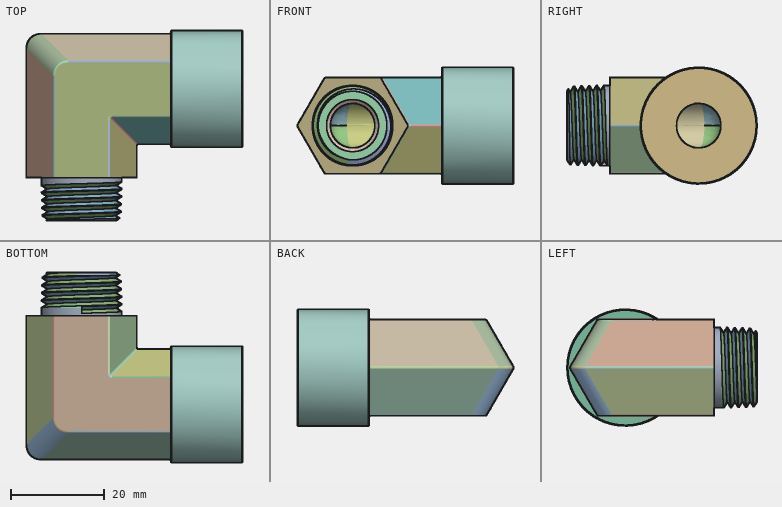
import cadquery as cq
import math

HEX_ACROSS_FLATS = 20.64
HEX_EDGE_RADIUS = 0.5
OUTER_BEND_RADIUS = 3.7
INNER_BEND_RADIUS = 0.5
SPIGOT_ARM_LENGTH = 18.98
SOCKET_ARM_LENGTH = 19.05

SOCKET_DIAMETER = 25.0
SOCKET_LENGTH = 15.43
SOCKET_CHAMFER = 0.2
SOCKET_ROOT_RADIUS = 0.25

SPIGOT_DIAMETER = 17.25
SPIGOT_LENGTH = 9.22
SPIGOT_TIP_DIAMETER = 14.7
TIP_CHAMFER_LENGTH = 0.7
THREAD_PITCH = 1.62
THREAD_DEPTH = 1.17
THREAD_CREST = 0.15
GROOVE_CLEARANCE = 0.1
TAPER_PER_LENGTH = 1 / 32
THREAD_RUNOUT_TURNS = 0.25
THREAD_OVERRUN_PITCHES = 7

BORE_DIAMETER = 9.5
BORE_BEND_RADIUS = 3.4
BORE_MOUTH_DIAMETER = 11.15

HEX_ACROSS_CORNERS = HEX_ACROSS_FLATS / math.cos(math.radians(30))
SPIGOT_TIP_Y = -(SPIGOT_ARM_LENGTH + SPIGOT_LENGTH)
SOCKET_END_X = SOCKET_ARM_LENGTH + SOCKET_LENGTH
REACH = 2 * max(-SPIGOT_TIP_Y, SOCKET_END_X)
POSITION_TOLERANCE = 1e-3


def half_space(first, second, third):
    """Large triangular prism; its first two corners span a dividing plane through the Z axis."""
    corners = [(REACH * x, REACH * y) for x, y in (first, second, third)]
    return cq.Workplane("XY").polyline(corners).close().extrude(SOCKET_DIAMETER, both=True)


def mitred_elbow(arm_y, arm_x):
    """Join two overlapping arms so that they meet on the mitre plane y = -x."""
    spigot_side = half_space((-1, 1), (1, -1), (-1, -1))
    return arm_y.intersect(spigot_side).union(arm_x.cut(spigot_side))


def mitre_edges(body, outer):
    """Edges on the mitre plane, on the outer (-X) or inner (+X) side of the bend."""
    found = []
    for edge in body.edges().vals():
        ends = (edge.startPoint(), edge.endPoint())
        on_plane = all(abs(p.x + p.y) < POSITION_TOLERANCE for p in ends)
        if on_plane and (edge.Center().x < 0) == outer:
            found.append(edge)
    return found


def face_slab(x=None, y=None):
    """Selector of what lies on the plane at the given x or the given y."""
    low_x, high_x = (-REACH, REACH) if x is None else (x - POSITION_TOLERANCE, x + POSITION_TOLERANCE)
    low_y, high_y = (-REACH, REACH) if y is None else (y - POSITION_TOLERANCE, y + POSITION_TOLERANCE)
    return cq.selectors.BoxSelector((low_x, low_y, -REACH), (high_x, high_y, REACH))


def hexagonal_body():
    overlap = HEX_ACROSS_CORNERS
    arm_y = (
        cq.Workplane("XZ", origin=(0, overlap, 0))
        .polygon(6, HEX_ACROSS_CORNERS)
        .extrude(SPIGOT_ARM_LENGTH + overlap)
    )
    arm_x = (
        cq.Workplane("YZ", origin=(-overlap, 0, 0))
        .polygon(6, HEX_ACROSS_CORNERS)
        .extrude(SOCKET_ARM_LENGTH + overlap)
    )
    body = mitred_elbow(arm_y, arm_x)
    body = body.newObject(mitre_edges(body, outer=True)).fillet(OUTER_BEND_RADIUS)
    body = body.newObject(mitre_edges(body, outer=False)).fillet(INNER_BEND_RADIUS)
    spigot_face = face_slab(y=-SPIGOT_ARM_LENGTH)
    socket_face = face_slab(x=SOCKET_ARM_LENGTH)
    along_arms = cq.selectors.StringSyntaxSelector("|X or |Y")
    return body.edges(along_arms - spigot_face - socket_face).fillet(HEX_EDGE_RADIUS)


def socket():
    return (
        cq.Workplane("YZ", origin=(SOCKET_ARM_LENGTH, 0, 0))
        .circle(SOCKET_DIAMETER / 2)
        .extrude(SOCKET_LENGTH)
        .edges()
        .chamfer(SOCKET_CHAMFER)
    )


def round_socket_root(body):
    """Fillet the inner corner where the hexagon meets the socket's annular face."""
    largest_size = SOCKET_DIAMETER - 2 * SOCKET_CHAMFER - POSITION_TOLERANCE
    edges = []
    for edge in body.edges(face_slab(x=SOCKET_ARM_LENGTH)).vals():
        box = edge.BoundingBox()
        if box.xlen < POSITION_TOLERANCE and box.zlen < largest_size:
            edges.append(edge)
    return body.newObject(edges).fillet(SOCKET_ROOT_RADIUS)


def spigot_blank():
    """Tapered round spigot with a chamfered tip, revolved about the Y axis."""
    root_y = -SPIGOT_ARM_LENGTH
    shoulder_y = SPIGOT_TIP_Y + TIP_CHAMFER_LENGTH
    taper_start_y = root_y - THREAD_PITCH
    root_radius = SPIGOT_DIAMETER / 2
    shoulder_radius = root_radius - TAPER_PER_LENGTH * (taper_start_y - shoulder_y)
    return (
        cq.Workplane("XY")
        .moveTo(0, root_y)
        .lineTo(root_radius, root_y)
        .lineTo(root_radius, taper_start_y)
        .lineTo(shoulder_radius, shoulder_y)
        .lineTo(SPIGOT_TIP_DIAMETER / 2, SPIGOT_TIP_Y)
        .lineTo(0, SPIGOT_TIP_Y)
        .close()
        .revolve(360, (0, 0, 0), (0, 1, 0))
    )


def thread_groove():
    """Right-handed V groove on the taper, built up the Z axis and then laid along Y."""
    climb = (THREAD_OVERRUN_PITCHES - 1 + THREAD_RUNOUT_TURNS) * THREAD_PITCH
    crest_radius = SPIGOT_DIAMETER / 2 - TAPER_PER_LENGTH * (THREAD_OVERRUN_PITCHES - 1) * THREAD_PITCH
    taper_angle = math.degrees(math.atan(TAPER_PER_LENGTH))
    helix = cq.Wire.makeHelix(THREAD_PITCH, climb, crest_radius, angle=taper_angle)
    half_width = (THREAD_PITCH - THREAD_CREST) / 2
    mouth_half_width = half_width * (1 + GROOVE_CLEARANCE / THREAD_DEPTH)
    groove = (
        cq.Workplane("XZ")
        .moveTo(crest_radius - THREAD_DEPTH, 0)
        .lineTo(crest_radius + GROOVE_CLEARANCE, mouth_half_width)
        .lineTo(crest_radius + GROOVE_CLEARANCE, -mouth_half_width)
        .close()
        .sweep(cq.Workplane(helix), isFrenet=True)
    )
    start_y = -SPIGOT_ARM_LENGTH - THREAD_OVERRUN_PITCHES * THREAD_PITCH
    return groove.rotate((0, 0, 0), (1, 0, 0), -90).translate((0, start_y, 0))


def bore():
    """Mitred round passage, rounded on the outer side of the bend."""
    overlap = BORE_DIAMETER
    plane_y = cq.Plane((0, overlap, 0), xDir=(-1, 0, 0), normal=(0, -1, 0))
    plane_x = cq.Plane((-overlap, 0, 0), xDir=(0, 1, 0), normal=(1, 0, 0))
    arm_y = cq.Workplane(plane_y).circle(BORE_DIAMETER / 2).extrude(overlap - SPIGOT_TIP_Y)
    arm_x = cq.Workplane(plane_x).circle(BORE_DIAMETER / 2).extrude(overlap + SOCKET_END_X)
    elbow = mitred_elbow(arm_y, arm_x)
    outer_side = half_space((-1, -1), (1, 1), (-1, 1))
    outer_half = elbow.intersect(outer_side)
    outer_half = outer_half.newObject(mitre_edges(outer_half, outer=True)).fillet(BORE_BEND_RADIUS)
    return elbow.cut(outer_side).union(outer_half)


def bore_mouth():
    """45 degree countersink at the spigot tip."""
    depth = (BORE_MOUTH_DIAMETER - BORE_DIAMETER) / 2
    mouth = cq.Solid.makeCone(
        BORE_MOUTH_DIAMETER / 2, BORE_DIAMETER / 2, depth, pnt=(0, SPIGOT_TIP_Y, 0), dir=(0, 1, 0)
    )
    return cq.Workplane(mouth)


fitting = round_socket_root(hexagonal_body().union(socket()))
spigot = spigot_blank().cut(thread_groove())
result = fitting.union(spigot).cut(bore()).cut(bore_mouth())